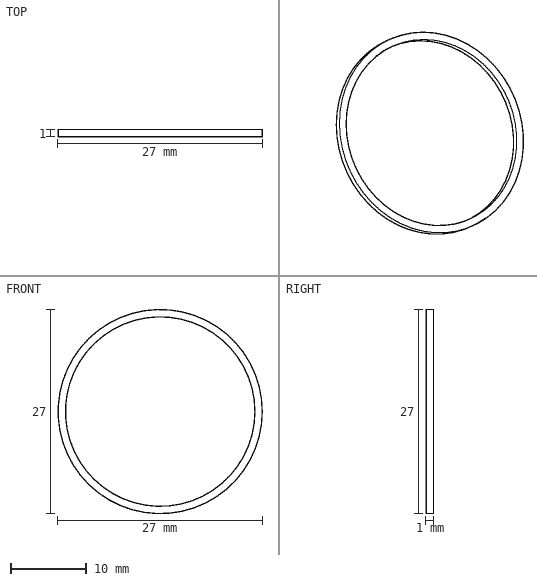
import cadquery as cq

outer_diameter = 27.0
radial_width = 1.0
thickness = 1.0
inner_diameter = outer_diameter - 2 * radial_width

result = (
    cq.Workplane("XZ")
    .circle(outer_diameter / 2)
    .circle(inner_diameter / 2)
    .extrude(thickness)
)